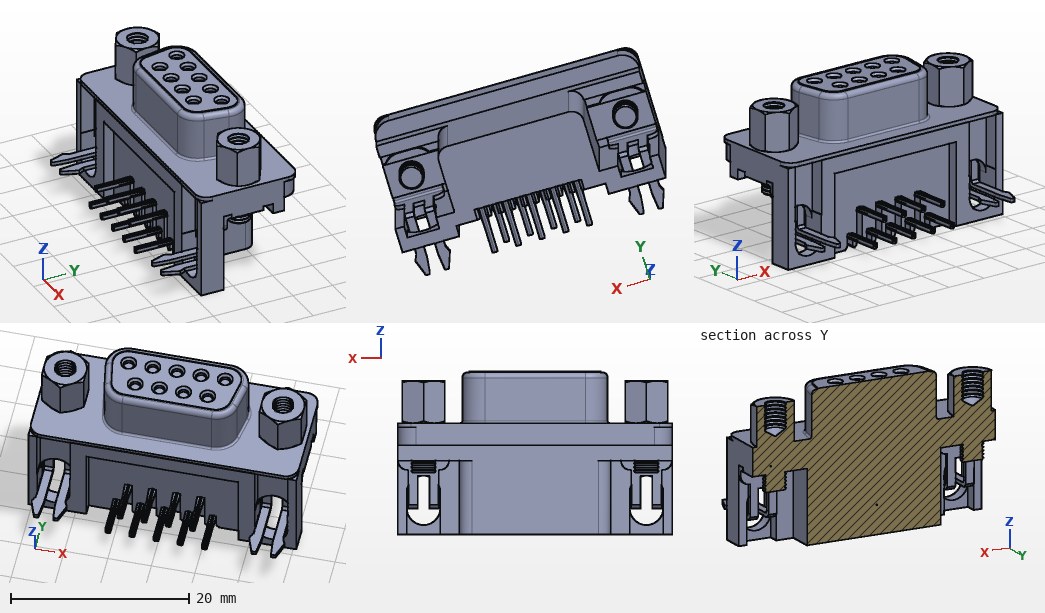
import cadquery as cq
import math

WIDTH = 30.8
TOP_Z = 18.3

FLANGE_TOP = 12.5
FLANGE_THICKNESS = 0.5
FLANGE_BOTTOM = FLANGE_TOP - FLANGE_THICKNESS
FLANGE_HALF_DEPTH = 6.25
FLANGE_CORNER_RADIUS = 1.48
REAR_BAR_BOTTOM = 10.0
REAR_BAR_CORNER_DIAMETER = 4.0

FRONT_Y = -6.2
REAR_Y = 4.28
LEG_REAR_Y = -3.33
HOUSING_HALF_WIDTH = 8.47
HOUSING_CORNER_RADIUS = 1.4
EAR_REAR_LIP_Z = 8.3
EAR_REAR_LIP_Y = 2.85
EAR_CEILING_Z = 9.03
NOTCH_TOP_Z = 9.52
REAR_NOTCH_Y = 1.65
FRONT_NOTCH_Y = -2.3
RECESS_WIDTH = 17.47
RECESS_HEIGHT = 10.0
RECESS_DEPTH = 1.25
RECESS_BACK_Y = FRONT_Y + RECESS_DEPTH

SCREW_X = 12.5
CHANNEL_WIDTH = 3.82
CHANNEL_DEPTH = 1.73
CHANNEL_BOTTOM = 5.55
SLOT_WIDTH = 3.73
SLOT_BOTTOM = 1.08
SLOT_TOP = 6.6
SLOT_MIDDLE = (SLOT_BOTTOM + SLOT_TOP) / 2
LEG_RELIEF_FRONT_Y = -4.68

SHELL_HALF_DEPTH = 3.97
SHELL_MID_HALF_WIDTH = 7.95
SHELL_SIDE_ANGLE = 10.0
SHELL_CORNER_RADIUS = 2.53
SHELL_TOP = 18.2
SHELL_TOP_RADIUS = 0.62
SHELL_FOOT_RADIUS = 0.25
INSERT_INSET = 0.8

PITCH = 2.77
ROW_HALF_SPACING = 1.42
SOCKET_DIAMETER = 1.2
SOCKET_MOUTH_DIAMETER = 1.73
SOCKET_MOUTH_DEPTH = 0.3
SOCKET_DEPTH = 0.68
ROW_OF_FIVE = [(i - 2) * PITCH for i in range(5)]
ROW_OF_FOUR = [(i - 1.5) * PITCH for i in range(4)]

PIN_SIZE = 0.62
PIN_BOTTOM_RADIUS = 0.28
PIN_GROOVE_WIDTH = 0.2
PIN_GROOVE_DEPTH = 0.37
PIN_TAPER_START_Y = -5.4
PIN_TAPER_END_Y = -6.72
PIN_TIP_Y = -9.45
LOW_PIN_TOP = 1.88
HIGH_PIN_TOP = 4.75
LOW_CHANNEL_WIDTH = 0.75
HIGH_CHANNEL_WIDTH = 0.83
PIN_CHANNEL_DEPTH = 1.23
PIN_CHANNEL_BACK_Y = RECESS_BACK_Y + PIN_CHANNEL_DEPTH
LEAD_IN = 0.35

HEX_ACROSS_FLATS = 4.8
HEX_TOP = 17.25
HEX_CHAMFER_HEIGHT = 0.22
SCREW_DIAMETER = 2.8
SCREW_END_Z = 6.93
THREAD_PITCH = 0.43
THREAD_DEPTH = 0.2
TAPPED_DIAMETER = 2.35
TAPPED_DEPTH = 3.15
DRILL_TIP_HEIGHT = 0.68

STRAP_THICKNESS = 0.45
STRAP_REAR_Y = 2.6
STRAP_PLATE_WIDTH = 5.73
STRAP_SHOULDER_Z = 7.25
STRAP_SHOULDER_RADIUS = 1.08
STRAP_BEND_RADIUS = 0.25
STRAP_NECK_WIDTH = 3.4
STRAP_END_RADIUS = 2.0
ARM_GAP = 1.3
ARM_BOTTOM = 2.9
ARM_TOP = ARM_BOTTOM + STRAP_THICKNESS
ARM_BEND_RADIUS = 0.3
BARB_ROOT_Y = -7.65
BARB_PEAK_Y = -8.38
BARB_HALF_WIDTH = 2.03
ARM_TIP_Y = -10.3
ARM_TIP_INSIDE = 0.85
ARM_TIP_OUTSIDE = 1.35
ARM_TIP_RADIUS = 0.2
BEND_CHAMFER = 0.43

SIDES = (-1, 1)
MARGIN = 0.03


def box(x0, x1, y0, y1, z0, z1):
    """Axis-aligned box between the given limits."""
    return cq.Workplane("XY").box(x1 - x0, y1 - y0, z1 - z0, centered=False).translate((x0, y0, z0))


def centered_box(x, width, y0, y1, z0, z1):
    """Axis-aligned box of a given width centred on x."""
    return box(x - width / 2, x + width / 2, y0, y1, z0, z1)


def revolve_about_z(profile):
    """Solid of revolution from a closed (radius, z) profile."""
    return cq.Workplane("XZ").polyline(profile).close().revolve(360, (0, 0), (0, 1))


def make_flange():
    plate = centered_box(0, WIDTH, -FLANGE_HALF_DEPTH, FLANGE_HALF_DEPTH, FLANGE_BOTTOM, FLANGE_TOP)
    plate = plate.edges("|Z").fillet(FLANGE_CORNER_RADIUS)
    bar = centered_box(0, WIDTH, 0, FLANGE_HALF_DEPTH, REAR_BAR_BOTTOM, FLANGE_BOTTOM)
    bar = bar.edges("|Z and >Y").fillet(REAR_BAR_CORNER_DIAMETER / 2)
    return plate.union(bar)


def make_leg_opening(x):
    """Channel in the front of a leg, slot through the leg below it, and relief in the lower rear."""
    channel = centered_box(x, CHANNEL_WIDTH, FRONT_Y, FRONT_Y + CHANNEL_DEPTH, CHANNEL_BOTTOM, FLANGE_BOTTOM)
    slot = (
        cq.Workplane("XZ", origin=(x, FRONT_Y, SLOT_MIDDLE))
        .slot2D(SLOT_TOP - SLOT_BOTTOM, SLOT_WIDTH, 90)
        .extrude(FRONT_Y - LEG_REAR_Y)
    )
    channel_foot = centered_box(
        x, SLOT_WIDTH, FRONT_Y, FRONT_Y + CHANNEL_DEPTH, SLOT_MIDDLE, CHANNEL_BOTTOM
    )
    relief = centered_box(x, SLOT_WIDTH, LEG_RELIEF_FRONT_Y, LEG_REAR_Y, 0, SLOT_MIDDLE)
    return channel.union(channel_foot).union(slot).union(relief)


def make_ear_relief(side):
    """Open space under an ear, behind the leg and beside the central block."""
    x0, x1 = sorted((side * HOUSING_HALF_WIDTH, side * WIDTH / 2))
    relief = box(x0, x1, LEG_REAR_Y, EAR_REAR_LIP_Y, 0, EAR_CEILING_Z)
    relief = relief.union(box(x0, x1, EAR_REAR_LIP_Y, REAR_Y, 0, EAR_REAR_LIP_Z))
    relief = relief.union(box(x0, x1, REAR_NOTCH_Y, EAR_REAR_LIP_Y, EAR_CEILING_Z, NOTCH_TOP_Z))
    return relief.union(box(x0, x1, LEG_REAR_Y, FRONT_NOTCH_Y, EAR_CEILING_Z, NOTCH_TOP_Z))


def make_housing():
    body = centered_box(0, WIDTH, FRONT_Y, REAR_Y, 0, FLANGE_BOTTOM)
    for side in SIDES:
        body = body.cut(make_ear_relief(side))
        body = body.cut(make_leg_opening(side * SCREW_X))
    rear_corner = cq.selectors.BoxSelector(
        (-HOUSING_HALF_WIDTH - MARGIN, REAR_Y - MARGIN, 0),
        (HOUSING_HALF_WIDTH + MARGIN, REAR_Y + MARGIN, EAR_REAR_LIP_Z),
    )
    body = body.edges("|Z").edges(rear_corner).fillet(HOUSING_CORNER_RADIUS)
    return body.cut(centered_box(0, RECESS_WIDTH, FRONT_Y, RECESS_BACK_Y, 0, RECESS_HEIGHT))


def make_d_prism(inset, z0, z1):
    """D-shaped prism whose outline lies a given distance inside the shell."""
    angle = math.radians(SHELL_SIDE_ANGLE)
    half_depth = SHELL_HALF_DEPTH - inset
    mid_half_width = SHELL_MID_HALF_WIDTH - inset / math.cos(angle)
    lean = half_depth * math.tan(angle)
    corners = [
        (-mid_half_width - lean, half_depth),
        (mid_half_width + lean, half_depth),
        (mid_half_width - lean, -half_depth),
        (-mid_half_width + lean, -half_depth),
    ]
    prism = cq.Workplane("XY", origin=(0, 0, z0)).polyline(corners).close().extrude(z1 - z0)
    return prism.edges("|Z").fillet(SHELL_CORNER_RADIUS - inset)


def make_flange_and_shell():
    """Flange with the rounded shell blended into it, and a slightly raised insert."""
    shell = make_d_prism(0, FLANGE_BOTTOM, SHELL_TOP)
    shell = shell.faces(">Z").edges().fillet(SHELL_TOP_RADIUS)
    foot_edges = cq.selectors.BoxSelector(
        (-SCREW_X, -SHELL_HALF_DEPTH - MARGIN, FLANGE_TOP - MARGIN),
        (SCREW_X, SHELL_HALF_DEPTH + MARGIN, FLANGE_TOP + MARGIN),
    )
    flange = make_flange().union(shell).edges(foot_edges).fillet(SHELL_FOOT_RADIUS)
    return flange.union(make_d_prism(INSERT_INSET, FLANGE_TOP, TOP_Z))


def make_socket(x, y):
    """Contact hole with a tapered mouth."""
    radius = SOCKET_DIAMETER / 2
    mouth_radius = SOCKET_MOUTH_DIAMETER / 2
    profile = [
        (0, 0),
        (mouth_radius, 0),
        (radius, -SOCKET_MOUTH_DEPTH),
        (radius, -SOCKET_DEPTH),
        (0, -SOCKET_DEPTH),
    ]
    socket = revolve_about_z(profile)
    return socket.translate((x, y, TOP_Z))


def make_pin_channel(x, width, top):
    """Upright channel in the recess wall, widened at its lower end."""
    half = width / 2
    outline = [
        (x - half - LEAD_IN, 0),
        (x - half, LEAD_IN),
        (x - half, top),
        (x + half, top),
        (x + half, LEAD_IN),
        (x + half + LEAD_IN, 0),
    ]
    channel = cq.Workplane("XZ", origin=(0, PIN_CHANNEL_BACK_Y, 0)).polyline(outline).close()
    return channel.extrude(PIN_CHANNEL_DEPTH)


def make_pin(x, top, root_width):
    """Horizontal tail with a rounded underside, a tapered root and a groove along its top."""
    half_root = root_width / 2
    half_pin = PIN_SIZE / 2
    root_plan = [
        (x - half_root, PIN_CHANNEL_BACK_Y),
        (x + half_root, PIN_CHANNEL_BACK_Y),
        (x + half_root, PIN_TAPER_START_Y),
        (x + half_pin, PIN_TAPER_END_Y),
        (x - half_pin, PIN_TAPER_END_Y),
        (x - half_root, PIN_TAPER_START_Y),
    ]
    root = cq.Workplane("XY", origin=(0, 0, top - PIN_SIZE / 2)).polyline(root_plan).close()
    pin = centered_box(x, PIN_SIZE, PIN_TIP_Y, PIN_CHANNEL_BACK_Y, top - PIN_SIZE, top)
    pin = pin.edges("|Y and <Z").fillet(PIN_BOTTOM_RADIUS)
    return pin.union(root.extrude(PIN_SIZE / 2)).cut(
        centered_box(x, PIN_GROOVE_WIDTH, PIN_TIP_Y, PIN_CHANNEL_BACK_Y, top - PIN_GROOVE_DEPTH, top)
    )


def make_threaded_rod(core_radius, crest_radius, z0, z1):
    """Rod with ring-shaped V ridges from z0 to z1, standing in for a thread."""
    turns = round((z1 - z0) / THREAD_PITCH)
    step = (z1 - z0) / turns
    points = [(0, z0)]
    for turn in range(turns):
        points.append((core_radius, z0 + turn * step))
        points.append((crest_radius, z0 + (turn + 0.5) * step))
    points += [(core_radius, z1), (0, z1)]
    return revolve_about_z(points)


def make_jack_screw(x):
    """Hexagonal jack screw with a threaded end and a tapped blind hole."""
    corner_radius = HEX_ACROSS_FLATS / math.sqrt(3)
    flat_radius = HEX_ACROSS_FLATS / 2
    hexagon = (
        cq.Workplane("XY", origin=(0, 0, FLANGE_TOP))
        .polygon(6, 2 * corner_radius)
        .extrude(HEX_TOP - FLANGE_TOP)
        .rotate((0, 0, 0), (0, 0, 1), 30)
    )
    chamfer_profile = [
        (0, FLANGE_TOP),
        (flat_radius, FLANGE_TOP),
        (corner_radius, FLANGE_TOP + HEX_CHAMFER_HEIGHT),
        (corner_radius, HEX_TOP - HEX_CHAMFER_HEIGHT),
        (flat_radius, HEX_TOP),
        (0, HEX_TOP),
    ]
    chamfered = revolve_about_z(chamfer_profile)
    screw = hexagon.intersect(chamfered)

    hole_radius = TAPPED_DIAMETER / 2
    hole_floor = HEX_TOP - TAPPED_DEPTH
    hole = make_threaded_rod(hole_radius, hole_radius + THREAD_DEPTH, hole_floor, HEX_TOP)
    tip_profile = [
        (0, hole_floor),
        (hole_radius, hole_floor),
        (0, hole_floor - DRILL_TIP_HEIGHT),
    ]
    tip = revolve_about_z(tip_profile)
    screw = screw.cut(hole).cut(tip)

    crest_radius = SCREW_DIAMETER / 2
    thread = make_threaded_rod(crest_radius - THREAD_DEPTH, crest_radius, SCREW_END_Z, EAR_CEILING_Z)
    return screw.union(thread).translate((x, 0, 0))


def make_arm(side):
    """Forward arm of a board lock, ending in an outward barb."""
    inner = ARM_GAP / 2
    outer = STRAP_NECK_WIDTH / 2
    outline = [
        (inner, LEG_REAR_Y + STRAP_THICKNESS),
        (outer, LEG_REAR_Y + STRAP_THICKNESS),
        (outer, BARB_ROOT_Y),
        (BARB_HALF_WIDTH, BARB_PEAK_Y),
        (ARM_TIP_OUTSIDE, ARM_TIP_Y),
        (ARM_TIP_INSIDE, ARM_TIP_Y),
        (inner, BARB_PEAK_Y),
    ]
    outline = [(side * px, py) for px, py in outline]
    arm = cq.Workplane("XY", origin=(0, 0, ARM_BOTTOM)).polyline(outline).close().extrude(STRAP_THICKNESS)
    arm = arm.edges("|Z and <Y").fillet(ARM_TIP_RADIUS)
    bend = (
        cq.Workplane("YZ", origin=(side * (inner + outer) / 2, 0, 0))
        .moveTo(LEG_REAR_Y, ARM_TOP)
        .lineTo(LEG_REAR_Y - ARM_BEND_RADIUS, ARM_TOP)
        .lineTo(LEG_REAR_Y, ARM_TOP + ARM_BEND_RADIUS)
        .close()
        .extrude((outer - inner) / 2, both=True)
    )
    return arm.union(bend)


def make_board_lock(x):
    """Bent strap: plate under the ear, upright behind the leg, two arms."""
    plate_bottom = NOTCH_TOP_Z - STRAP_THICKNESS
    upright_rear_y = LEG_REAR_Y + STRAP_THICKNESS
    half_plate = STRAP_PLATE_WIDTH / 2
    half_neck = STRAP_NECK_WIDTH / 2

    plate = centered_box(0, STRAP_PLATE_WIDTH, LEG_REAR_Y, STRAP_REAR_Y, plate_bottom, NOTCH_TOP_Z)
    plate = plate.edges("|Z and >Y").fillet(STRAP_END_RADIUS)
    upright = (
        cq.Workplane("XZ", origin=(0, upright_rear_y, 0))
        .moveTo(-half_plate, NOTCH_TOP_Z)
        .lineTo(half_plate, NOTCH_TOP_Z)
        .lineTo(half_plate, STRAP_SHOULDER_Z)
        .lineTo(half_neck, STRAP_SHOULDER_Z)
        .lineTo(half_neck, ARM_BOTTOM)
        .lineTo(-half_neck, ARM_BOTTOM)
        .lineTo(-half_neck, STRAP_SHOULDER_Z)
        .lineTo(-half_plate, STRAP_SHOULDER_Z)
        .close()
        .extrude(STRAP_THICKNESS)
    )
    upright = upright.edges("|Y and (<X or >X)").edges("<Z").fillet(STRAP_SHOULDER_RADIUS)
    upright = upright.cut(centered_box(0, ARM_GAP, LEG_REAR_Y, upright_rear_y, 0, SLOT_TOP))
    lock = plate.union(upright)
    inner_bend = cq.selectors.NearestToPointSelector((0, upright_rear_y, plate_bottom))
    lock = lock.edges(inner_bend).fillet(STRAP_BEND_RADIUS)
    for side in SIDES:
        lock = lock.union(make_arm(side))
    bend_edges = cq.selectors.BoxSelector(
        (-half_plate, upright_rear_y - MARGIN, ARM_BOTTOM - MARGIN),
        (half_plate, upright_rear_y + MARGIN, ARM_BOTTOM + MARGIN),
    )
    lock = lock.clean().edges(bend_edges).chamfer(BEND_CHAMFER)
    return lock.translate((x, 0, 0))


result = make_housing().union(make_flange_and_shell())
for side in SIDES:
    result = result.union(make_board_lock(side * SCREW_X))
    result = result.union(make_jack_screw(side * SCREW_X))
for row, y, pin_top, channel_width in (
    (ROW_OF_FIVE, ROW_HALF_SPACING, LOW_PIN_TOP, LOW_CHANNEL_WIDTH),
    (ROW_OF_FOUR, -ROW_HALF_SPACING, HIGH_PIN_TOP, HIGH_CHANNEL_WIDTH),
):
    for x in row:
        result = result.cut(make_socket(x, y))
        result = result.cut(make_pin_channel(x, channel_width, pin_top))
        result = result.union(make_pin(x, pin_top, channel_width))